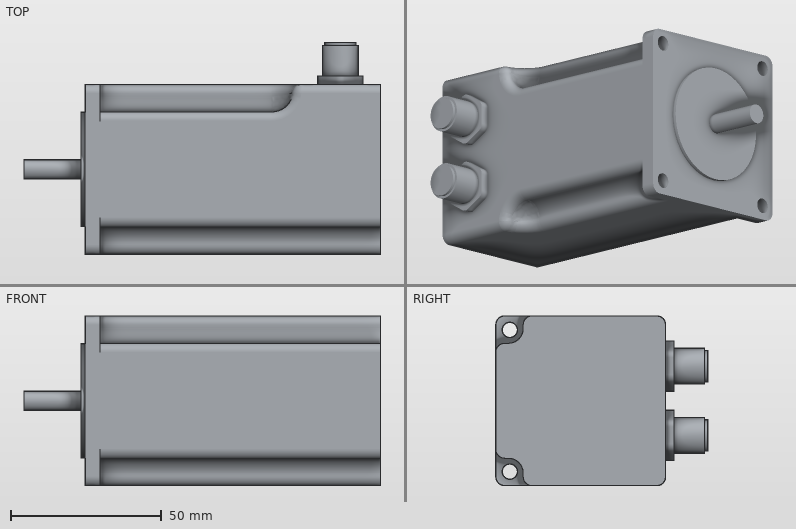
import cadquery as cq
import math

overall_length = 118.6
pilot_face = 19.0
flange_face = 20.4
flange_back = 25.4
side_groove_end = 82.4

square_size = 56.5
half_square = square_size / 2
rim_radius = 3.0
shaft_diameter = 6.4
pilot_diameter = 38.1
hole_diameter = 5.0
hole_spacing = 47.1

groove_depth = 9.1
groove_corner_radius = 5.0
runout_radius = 7.0

connector_x = 105.2
connector_spacing = 23.0
nut_across_flats = 15.2
nut_corner_radius = 2.5
nut_height = 2.8
plug_diameter = 12.0
plug_tip_diameter = 10.4
plug_tip_length = 1.1
connector_height = 14.0


def along_x(start, end):
    """YZ workplane at the start position, and the distance to the end position."""
    return cq.Workplane("YZ", origin=(start, 0, 0)), end - start


def cylinder_x(start, end, diameter):
    plane, length = along_x(start, end)
    return plane.circle(diameter / 2).extrude(length)


def square_block(start, end):
    plane, length = along_x(start, end)
    return plane.rect(square_size, square_size).extrude(length)


def through_groove(z_sign):
    """Cutter for a -Y corner groove, which runs out through the rear face."""
    plane, length = along_x(flange_back, overall_length)
    return (
        plane.center(-half_square, z_sign * half_square)
        .rect(2 * groove_depth, 2 * groove_depth)
        .extrude(length)
        .edges("|X")
        .fillet(groove_corner_radius)
    )


def runout_profile(plane):
    """Half outline of a groove whose wall curves outward to a square end."""
    inner = half_square - groove_depth
    outer = half_square + groove_depth
    arc_middle_angle = math.radians(45)
    arc_end = (side_groove_end + runout_radius, inner + runout_radius)
    arc_middle = (
        side_groove_end + runout_radius * math.sin(arc_middle_angle),
        inner + runout_radius * (1 - math.cos(arc_middle_angle)),
    )
    return (
        cq.Workplane(plane)
        .moveTo(flange_back, inner)
        .lineTo(side_groove_end, inner)
        .threePointArc(arc_middle, arc_end)
        .lineTo(arc_end[0], outer)
        .lineTo(flange_back, outer)
        .close()
        .extrude(square_size, both=True)
    )


def closed_groove(z_sign):
    """Cutter for a +Y corner groove, which ends ahead of the connectors."""
    sharp_groove = runout_profile("XY").intersect(runout_profile("XZ"))
    inner_edges = cq.selectors.BoxSelector(
        (side_groove_end / 2, 0, 0),
        (overall_length, half_square, half_square),
    )
    groove = sharp_groove.edges(inner_edges).fillet(groove_corner_radius)
    return groove if z_sign > 0 else groove.mirror("XY")


def housing():
    block = square_block(flange_back, overall_length)
    for z_sign in (-1, 1):
        block = block.cut(closed_groove(z_sign)).cut(through_groove(z_sign))
    long_sides = block.faces("<Y or >Y or <Z or >Z")
    return long_sides.edges("not (<X or >X)").fillet(rim_radius)


def flange():
    hole_plane = cq.Workplane("YZ", origin=(flange_face, 0, 0))
    holes = (
        hole_plane.rect(hole_spacing, hole_spacing, forConstruction=True)
        .vertices()
        .circle(hole_diameter / 2)
        .extrude(flange_back - flange_face)
    )
    plate = square_block(flange_face, flange_back).edges("|X").fillet(rim_radius)
    return plate.cut(holes)


def connector(z):
    """Nut, plug and plug tip standing on the +Y side at height z."""
    base = cq.Workplane("XZ", origin=(connector_x, half_square, z))
    nut_diameter = nut_across_flats / math.cos(math.radians(30))
    nut = base.transformed(rotate=(0, 0, 30)).polygon(6, nut_diameter).extrude(-nut_height)
    nut = nut.edges("|Y").fillet(nut_corner_radius)
    plug = base.circle(plug_diameter / 2).extrude(-(connector_height - plug_tip_length))
    tip = base.circle(plug_tip_diameter / 2).extrude(-connector_height)
    return nut.union(plug).union(tip)


motor = housing().union(flange())
motor = motor.union(cylinder_x(pilot_face, flange_face, pilot_diameter))
motor = motor.union(cylinder_x(0, pilot_face, shaft_diameter))
for z_sign in (-1, 1):
    motor = motor.union(connector(z_sign * connector_spacing / 2))

result = motor